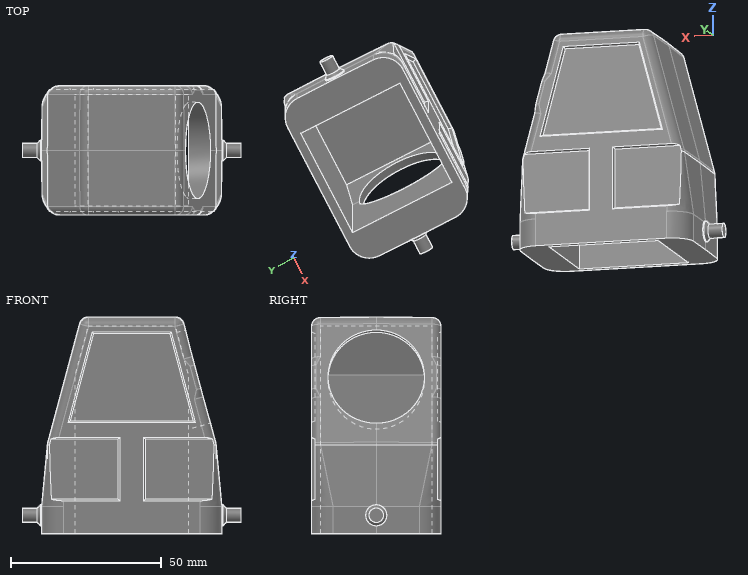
import cadquery as cq
import math

base_length = 59.9
body_width = 43.0
body_height = 72.0
skirt_height = 9.1
knee_length = 56.0
knee_height = 30.0
end_slope = 15.0
draft = 0.5
edge_radius = 3.0
base_corner_radius = 7.2
knee_radius = 5.4

wall = 3.0
cavity_half_length = 18.8

entry_diameter = 32.0
entry_x = 22.05
entry_depth = 12.0
entry_clearance = 5.0
land_radius = 1.5
land_length = 8.0
land_runout = 3.0
land_overlap = 0.2

recess_depth = 1.2
recess_rim = 0.55
panel_bottom = 37.0
panel_top = 67.0
panel_bottom_half = 21.1
panel_top_half = 13.1
grip_inner = 3.95
grip_bottom = 11.0
grip_top = 32.0

pin_diameter = 4.8
pin_span = 72.6
pin_height = 6.2
collar_diameter = 7.0
collar_rim = 0.35
pin_root = 5.0

arc_middle = 1 - math.sqrt(0.5)
half_base = base_length / 2
half_width = body_width / 2
half_knee = knee_length / 2
slope_tan = math.tan(math.radians(end_slope))
draft_tan = math.tan(math.radians(draft))
lower_tan = (half_base - half_knee) / (knee_height - skirt_height)
entry_z = knee_height + (half_knee - entry_x) / slope_tan
half_top = half_knee - (body_height - knee_height) * slope_tan

lower_slope = math.degrees(math.atan(lower_tan))
knee_turn = math.radians(end_slope - lower_slope)
knee_tangent = knee_radius * math.tan(knee_turn / 2)
knee_start_z = knee_height - knee_tangent * math.cos(math.radians(lower_slope))
knee_start_x = half_knee + (knee_height - knee_start_z) * lower_tan
knee_end_z = knee_height + knee_tangent * math.cos(math.radians(end_slope))
knee_end_x = half_knee - (knee_end_z - knee_height) * slope_tan


def upper_half():
    """The -Y half of the upper hood, drafted away from Y = 0, with rounded edges."""
    profile = (
        cq.Workplane("XZ")
        .moveTo(-half_base, skirt_height)
        .lineTo(half_base, skirt_height)
        .lineTo(knee_start_x, knee_start_z)
        .radiusArc((knee_end_x, knee_end_z), -knee_radius)
        .lineTo(half_top, body_height)
        .lineTo(-half_top, body_height)
        .lineTo(-knee_end_x, knee_end_z)
        .radiusArc((-knee_start_x, knee_start_z), -knee_radius)
        .close()
    )
    half = profile.extrude(half_width, taper=draft)
    side_edges = half.faces("<Y").edges("not <Z")
    top_end_edges = half.faces(">Z").edges("<X or >X")
    return side_edges.add(top_end_edges).fillet(edge_radius)


def upper_hood():
    """Both halves of the upper hood, trimmed flat where the knee arc begins."""
    half = upper_half()
    hood = half.union(half.mirror("XZ"))
    trim = cq.Workplane("XY").box(2 * base_length, 2 * body_width, knee_start_z, centered=(True, True, False))
    return hood.cut(trim)


def rounded_outline(workplane, half_length, radius):
    """Horizontal outline with a slight crest on each end wall and rounded corners."""
    arc_inset = radius * arc_middle
    side_x = half_length - half_width * draft_tan
    flat_x = half_length - (half_width - radius) * draft_tan
    flat_y = half_width - radius
    arc_x = side_x - arc_inset
    arc_y = half_width - arc_inset
    return (
        workplane.moveTo(half_length, 0)
        .lineTo(flat_x, flat_y)
        .threePointArc((arc_x, arc_y), (side_x - radius, half_width))
        .lineTo(radius - side_x, half_width)
        .threePointArc((-arc_x, arc_y), (-flat_x, flat_y))
        .lineTo(-half_length, 0)
        .lineTo(-flat_x, -flat_y)
        .threePointArc((-arc_x, -arc_y), (radius - side_x, -half_width))
        .lineTo(side_x - radius, -half_width)
        .threePointArc((arc_x, -arc_y), (flat_x, -flat_y))
        .close()
    )


def lower_hood():
    """Straight skirt, then walls whose corners tighten up to the knee."""
    base = cq.Workplane("XY")
    skirt = rounded_outline(base, half_base, base_corner_radius).extrude(skirt_height)
    skirt_top = rounded_outline(base.workplane(offset=skirt_height), half_base, base_corner_radius)
    knee_plane = skirt_top.workplane(offset=knee_start_z - skirt_height)
    waist = rounded_outline(knee_plane, knee_start_x, edge_radius).loft(ruled=True)
    return skirt.union(waist)


def land_corner():
    """Filler that tightens the +Y edge rounding beside the cable entry."""
    slope = math.radians(end_slope)
    up_slope = cq.Vector(-math.sin(slope), 0, math.cos(slope))
    inward = cq.Vector(-math.cos(slope), 0, -math.sin(slope))
    entry_centre = cq.Vector(entry_x, half_width, entry_z)
    corner = entry_centre + inward * (half_width * draft_tan)
    half_land = land_length / 2
    stations = (
        (-half_land - land_runout, edge_radius),
        (-half_land, land_radius),
        (half_land, land_radius),
        (half_land + land_runout, edge_radius),
    )
    reach = edge_radius + land_overlap
    wires = []
    for position, radius in stations:
        plane = cq.Plane(corner + up_slope * position, inward, up_slope)
        arc_inset = radius * arc_middle
        section = (
            cq.Workplane(plane)
            .moveTo(radius, 0)
            .lineTo(reach, 0)
            .lineTo(reach, reach)
            .lineTo(-reach * draft_tan, reach)
            .lineTo(-radius * draft_tan, radius)
            .threePointArc((arc_inset, arc_inset), (radius, 0))
            .close()
        )
        wires.append(section.val())
    return cq.Workplane(cq.Solid.makeLoft(wires, True))


def cavity():
    """Interior open at the base: straight walls, then a roof following the outer slopes."""
    roof_height = body_height - wall
    wall_offset = wall / math.cos(math.radians(end_slope))
    slope_start_z = knee_height + (half_knee - wall_offset - cavity_half_length) / slope_tan
    roof_half = cavity_half_length - (roof_height - slope_start_z) * slope_tan
    profile = [
        (-cavity_half_length, 0),
        (cavity_half_length, 0),
        (cavity_half_length, slope_start_z),
        (roof_half, roof_height),
        (-roof_half, roof_height),
        (-cavity_half_length, slope_start_z),
    ]
    return cq.Workplane("XZ").polyline(profile).close().extrude(half_width - wall, both=True)


def cable_entry():
    """Bore square to the sloping +X end wall, running into the cavity."""
    slope = math.radians(end_slope)
    outward = cq.Vector(math.cos(slope), 0, math.sin(slope))
    centre = cq.Vector(entry_x, 0, entry_z)
    start = centre + outward * entry_clearance
    return cq.Workplane(
        cq.Solid.makeCylinder(entry_diameter / 2, entry_clearance + entry_depth, start, outward * -1)
    )


def face_recess(outline):
    """Recess in the -Y face with sloping walls that narrow towards its floor."""
    wall_taper = math.degrees(math.atan(recess_rim / recess_depth))
    face = cq.Workplane("XZ", origin=(0, -half_width, 0))
    return face.polyline(outline).close().extrude(-recess_depth, taper=wall_taper)


def recesses():
    """Upper panel and two grip recesses on the -Y face."""
    panel = face_recess([
        (-panel_bottom_half, panel_bottom),
        (panel_bottom_half, panel_bottom),
        (panel_top_half, panel_top),
        (-panel_top_half, panel_top),
    ])
    grip = face_recess([
        (grip_inner, grip_bottom),
        (base_length, grip_bottom),
        (base_length, grip_top),
        (grip_inner, grip_top),
    ])
    return panel.union(grip).union(grip.mirror("YZ"))


def locking_pin():
    """Pin on the +X end with a chamfered collar against the wall."""
    collar_radius = collar_diameter / 2
    pin_radius = pin_diameter / 2
    collar_front = half_base + collar_rim
    inner_end = half_base - pin_root
    half_section = [
        (inner_end, 0),
        (pin_span / 2, 0),
        (pin_span / 2, pin_radius),
        (collar_front + collar_radius - pin_radius, pin_radius),
        (collar_front, collar_radius),
        (inner_end, collar_radius),
    ]
    section = cq.Workplane("XY", origin=(0, 0, pin_height)).polyline(half_section).close()
    return section.revolve(360, (0, 0, 0), (1, 0, 0))


land = land_corner()
pin = locking_pin()
face_recesses = recesses()

result = lower_hood().union(upper_hood())
result = result.union(land).union(land.mirror("XZ"))
result = result.cut(cavity()).cut(cable_entry())
result = result.cut(face_recesses).cut(face_recesses.mirror("XZ"))
result = result.union(pin).union(pin.mirror("YZ"))